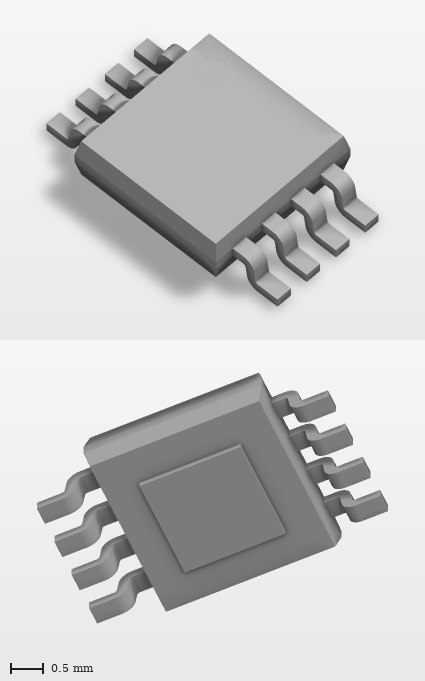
import cadquery as cq
import math

span = 4.9
height = 0.96
body_side = 3.0
standoff = 0.105
face_inset = 0.075

leads_per_side = 4
lead_pitch = 0.65
lead_width = 0.3
lead_thickness = 0.18
bend_radius = 0.05
leg_tilt = math.radians(8.5)
knee_length = 0.225
lead_embed = 0.1

pad_side = 1.7
mark_diameter = 0.5
mark_offset = 0.93
mark_depth = 0.0025

band_middle = (standoff + height) / 2
band_bottom = band_middle - lead_thickness / 2
band_top = band_middle + lead_thickness / 2
body_half = body_side / 2


def tapered_half(band_z, face_z):
    """Drafted block from the full-width band to a smaller end face."""
    face_side = body_side - 2 * face_inset
    return (
        cq.Workplane("XY", origin=(0, 0, band_z))
        .rect(body_side, body_side)
        .workplane(offset=face_z - band_z)
        .rect(face_side, face_side)
        .loft(ruled=True)
    )


def make_body():
    band = (
        cq.Workplane("XY", origin=(0, 0, band_bottom))
        .rect(body_side, body_side)
        .extrude(lead_thickness)
    )
    return band.union(tapered_half(band_top, height)).union(tapered_half(band_bottom, standoff))


def on_arc(centre, radius, angle):
    """Point of a circle in the XZ plane."""
    return (centre[0] + radius * math.cos(angle), centre[1] + radius * math.sin(angle))


def make_left_lead(y):
    """Gull-wing lead on the -X side, centred at the given Y."""
    outer_radius = bend_radius + lead_thickness
    upper_z = band_bottom - bend_radius
    lower_z = outer_radius
    upper = (-body_half - knee_length, upper_z)
    spacing = (outer_radius + bend_radius + (upper_z - lower_z) * math.sin(leg_tilt)) / math.cos(leg_tilt)
    lower = (upper[0] - spacing, lower_z)

    tip_x = -span / 2
    root_x = -body_half + lead_embed
    upper_end = math.pi - leg_tilt
    upper_mid = (math.pi / 2 + upper_end) / 2
    lower_end = -leg_tilt
    lower_mid = (-math.pi / 2 + lower_end) / 2

    profile = (
        cq.Workplane("XZ", origin=(0, y + lead_width / 2, 0))
        .moveTo(tip_x, 0)
        .lineTo(lower[0], 0)
        .threePointArc(on_arc(lower, outer_radius, lower_mid), on_arc(lower, outer_radius, lower_end))
        .lineTo(*on_arc(upper, bend_radius, upper_end))
        .threePointArc(on_arc(upper, bend_radius, upper_mid), (upper[0], band_bottom))
        .lineTo(root_x, band_bottom)
        .lineTo(root_x, band_top)
        .lineTo(upper[0], band_top)
        .threePointArc(on_arc(upper, outer_radius, upper_mid), on_arc(upper, outer_radius, upper_end))
        .lineTo(*on_arc(lower, bend_radius, lower_end))
        .threePointArc(on_arc(lower, bend_radius, lower_mid), (lower[0], lead_thickness))
        .lineTo(tip_x, lead_thickness)
        .close()
    )
    return profile.extrude(lead_width)


def make_pad():
    return cq.Workplane("XY").rect(pad_side, pad_side).extrude(standoff)


def make_mark():
    """Shallow round recess beside pin 1."""
    return (
        cq.Workplane("XY", origin=(-mark_offset, mark_offset, height - mark_depth))
        .circle(mark_diameter / 2)
        .extrude(mark_depth)
    )


result = make_body().union(make_pad())
for index in range(leads_per_side):
    lead = make_left_lead((index - (leads_per_side - 1) / 2) * lead_pitch)
    result = result.union(lead).union(lead.mirror("YZ"))
result = result.cut(make_mark())